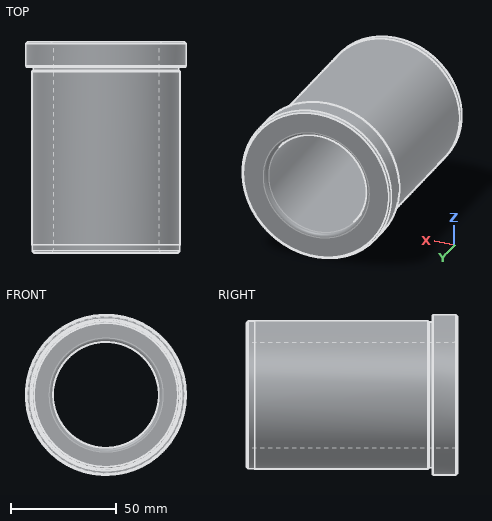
import cadquery as cq

length = 100.0
flange_radius = 38.0
flange_width = 12.0
body_radius = 35.1
bore_radius = 25.0

flange_back_chamfer = 1.0
flange_front_chamfer = 0.5
relief_radius = 34.5
relief_width = 2.2
relief_taper_length = 0.7
undercut_rim_radius = 35.9
undercut_depth = 0.3
undercut_round = 0.6
pilot_radius = 35.0
pilot_length = 4.0
nose_chamfer = 1.0
bore_round = 2.0

nose_y = -length / 2
back_y = length / 2
flange_y = back_y - flange_width
body_end_y = flange_y - relief_width
undercut_floor_y = flange_y + undercut_depth
pilot_end_y = nose_y + pilot_length


def make_outer_body():
    """Revolve the outside profile, as (radius, y) points, about Y.

    The relief groove ends in a rounded undercut that tapers out of the flange face.
    """
    nose_and_body = [
        (pilot_radius - nose_chamfer, nose_y),
        (pilot_radius, nose_y + nose_chamfer),
        (pilot_radius, pilot_end_y),
        (body_radius, pilot_end_y),
        (body_radius, body_end_y),
        (relief_radius, body_end_y + relief_taper_length),
        (relief_radius, undercut_floor_y - undercut_round),
    ]
    flange = [
        (undercut_rim_radius, flange_y),
        (flange_radius - flange_front_chamfer, flange_y),
        (flange_radius, flange_y + flange_front_chamfer),
        (flange_radius, back_y - flange_back_chamfer),
        (flange_radius - flange_back_chamfer, back_y),
        (0, back_y),
    ]
    return (
        cq.Workplane("XY")
        .moveTo(0, nose_y)
        .polyline(nose_and_body, includeCurrent=True)
        .radiusArc((relief_radius + undercut_round, undercut_floor_y), undercut_round)
        .polyline(flange, includeCurrent=True)
        .close()
        .revolve(360, (0, 0), (0, 1))
    )


def cut_bore(body):
    """Cut the through bore and round its mouth at both ends."""
    bored = body.faces("<Y").workplane(centerOption="CenterOfMass").hole(2 * bore_radius)
    return bored.faces("<Y or >Y").edges(cq.selectors.RadiusNthSelector(0)).fillet(bore_round)


result = cut_bore(make_outer_body())